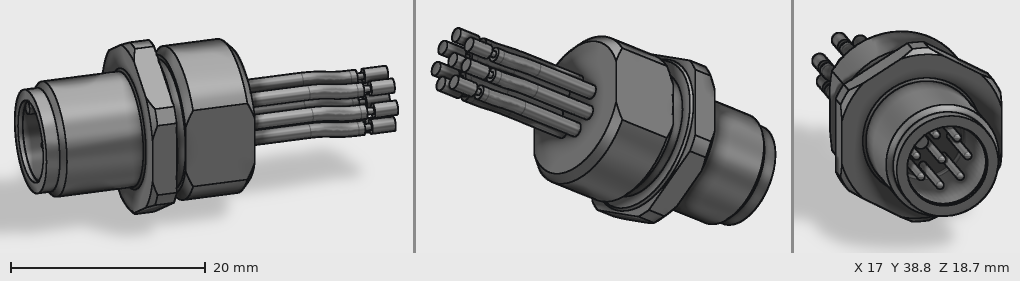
import cadquery as cq
import math

total_length = 38.8

tip_diameter = 10.8
tip_end = 1.45
barrel_diameter = 12.0
barrel_chamfer_end = 2.0
barrel_end = 10.25
shoulder_diameter = 12.57

hex_across_flats = 17.0
hex_across_corners = 18.7
hex_front = 10.45
hex_back = 13.05
hex_chamfer = 0.55
collar_front_diameter = 16.45
collar_back_diameter = 16.0
collar_end = 13.3

neck_diameter = 13.5
body_diameter = 16.0
body_across_flats = 13.5
body_front = 14.55
body_back = 22.05
body_chamfer = 0.8

mouth_diameter = 8.55
mouth_depth = 0.5
bore_diameter = 8.4
floor_depth = 9.3
floor_fillet = 0.3
key_diameter = 1.5
key_radius = 3.75
key_angle = 135.0

pin_diameter = 0.8
pin_dome_start = 2.3
pin_circle_radius = 2.75
ring_pin_count = 7
pin_spacing = 49.2

wire_diameter = 1.5
core_diameter = 0.7
bend_start = 29.35
bend_end = 34.8
insulation_end = 35.5
stub_start = 36.3
bend_shift = 0.85


def cylinder(x, z, diameter, start, end):
    """Cylinder along Y from start to end, centred on (x, z)."""
    return cq.Workplane(cq.Solid.makeCylinder(
        diameter / 2, end - start, cq.Vector(x, start, z), cq.Vector(0, 1, 0)))


def turned(profile):
    """Solid of revolution about Y from (diameter, y) pairs."""
    points = [(diameter / 2, y) for diameter, y in profile]
    axis_points = [(0, points[-1][1]), (0, points[0][1])]
    return cq.Workplane("XY").polyline(points + axis_points).close().revolve(360, (0, 0), (0, 1))


def make_barrel():
    return turned([
        (tip_diameter, 0),
        (tip_diameter, tip_end),
        (barrel_diameter, barrel_chamfer_end),
        (barrel_diameter, barrel_end),
        (shoulder_diameter, hex_front),
        (shoulder_diameter, hex_back),
    ])


def make_flange():
    hex_corner_diameter = hex_across_flats / math.cos(math.pi / 6)
    hexagon = (
        cq.Workplane("XZ", origin=(0, hex_front, 0))
        .polygon(6, hex_corner_diameter)
        .extrude(hex_front - hex_back)
        .rotate((0, 0, 0), (0, 1, 0), 30)
    )
    envelope = turned([
        (hex_across_corners - 2 * hex_chamfer, hex_front),
        (hex_across_corners, hex_front + hex_chamfer),
        (hex_across_corners, hex_back),
    ])
    collar = turned([(collar_front_diameter, hex_back), (collar_back_diameter, collar_end)])
    return hexagon.intersect(envelope).union(collar)


def make_rear_body():
    end_diameter = body_diameter - 2 * body_chamfer
    body = turned([
        (end_diameter, body_front),
        (body_diameter, body_front + body_chamfer),
        (body_diameter, body_back - body_chamfer),
        (end_diameter, body_back),
    ])
    length = body_back - body_front
    flats = cq.Workplane("XY").box(body_across_flats, length, body_diameter)
    flats = flats.translate((0, body_front + length / 2, 0))
    neck = cylinder(0, 0, neck_diameter, collar_end, body_front)
    return body.intersect(flats).union(neck)


def make_socket():
    """Bore with a wider mouth and a rounded floor edge, less the round key on its wall."""
    bore = cylinder(0, 0, bore_diameter, 0, floor_depth).faces(">Y").edges().fillet(floor_fillet)
    bore = bore.union(cylinder(0, 0, mouth_diameter, 0, mouth_depth))
    angle = math.radians(key_angle)
    key_x = key_radius * math.cos(angle)
    key_z = key_radius * math.sin(angle)
    return bore.cut(cylinder(key_x, key_z, key_diameter, mouth_depth, floor_depth))


def contact_positions():
    """(x, z) of every contact; the ring is symmetric about the line through the key."""
    positions = [(0, 0)]
    first_pin_angle = key_angle + 180 - pin_spacing * (ring_pin_count - 1) / 2
    for index in range(ring_pin_count):
        angle = math.radians(first_pin_angle + index * pin_spacing)
        positions.append((pin_circle_radius * math.cos(angle), pin_circle_radius * math.sin(angle)))
    return positions


def make_pin(x, z):
    dome = cq.Workplane("XY").sphere(pin_diameter / 2, direct=(0, 1, 0)).translate((x, pin_dome_start, z))
    return cylinder(x, z, pin_diameter, pin_dome_start, floor_depth).union(dome)


def make_wire(x, z):
    end_x = x - bend_shift
    end_z = z - bend_shift
    along = cq.Vector(0, 1, 0)
    path = cq.Edge.makeSpline(
        [cq.Vector(x, bend_start, z), cq.Vector(end_x, bend_end, end_z)], tangents=[along, along])
    bend = (
        cq.Workplane("XZ", origin=(x, bend_start, z))
        .circle(wire_diameter / 2)
        .sweep(cq.Workplane(cq.Wire.assembleEdges([path])))
    )
    return (
        cylinder(x, z, wire_diameter, body_back, bend_start)
        .union(bend)
        .union(cylinder(end_x, end_z, wire_diameter, bend_end, insulation_end))
        .union(cylinder(end_x, end_z, core_diameter, insulation_end, stub_start))
        .union(cylinder(end_x, end_z, wire_diameter, stub_start, total_length))
    )


result = make_barrel().union(make_flange()).union(make_rear_body()).cut(make_socket())
for pin_x, pin_z in contact_positions():
    result = result.union(make_pin(pin_x, pin_z)).union(make_wire(pin_x, pin_z))